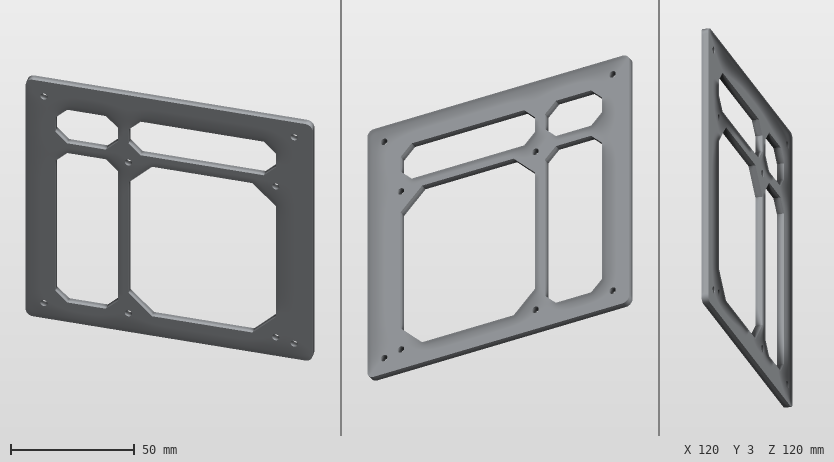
import cadquery as cq

side = 120.0
thickness = 3.0
corner_radius = 3.0

hole_diameter = 3.0
corner_hole_spacing = 104.8
inner_hole_left = -17.0
inner_hole_right = 44.6
inner_hole_bottom = -50.6
inner_hole_top = 25.9

left_column = (-47.6, -21.4)
right_column = (-16.9, 44.8)
lower_row = (-50.2, 25.7)
upper_row = (30.6, 47.6)
small_chamfer = 5.0
large_chamfer = 9.8


def through_block(x_range, z_range, chamfer):
    """Block with chamfered corners, as deep as the plate."""
    width = x_range[1] - x_range[0]
    height = z_range[1] - z_range[0]
    return (
        cq.Workplane("XY")
        .box(width, thickness, height)
        .edges("|Y")
        .chamfer(chamfer)
        .translate((sum(x_range) / 2, 0, sum(z_range) / 2))
    )


def drill(plate, points):
    """Drill through holes at (x, z) points."""
    return (
        plate.faces("<Y")
        .workplane(origin=(0, 0, 0))
        .pushPoints(points)
        .hole(hole_diameter)
    )


result = cq.Workplane("XY").box(side, thickness, side).edges("|Y").fillet(corner_radius)

openings = [
    (left_column, upper_row, small_chamfer),
    (right_column, upper_row, small_chamfer),
    (left_column, lower_row, small_chamfer),
    (right_column, lower_row, large_chamfer),
]
for x_range, z_range, chamfer in openings:
    result = result.cut(through_block(x_range, z_range, chamfer))

half_spacing = corner_hole_spacing / 2
corner_points = [
    (x, z) for x in (-half_spacing, half_spacing) for z in (-half_spacing, half_spacing)
]
result = drill(result, corner_points)

inner_points = [
    (x, z)
    for x in (inner_hole_left, inner_hole_right)
    for z in (inner_hole_bottom, inner_hole_top)
]
result = drill(result, inner_points)